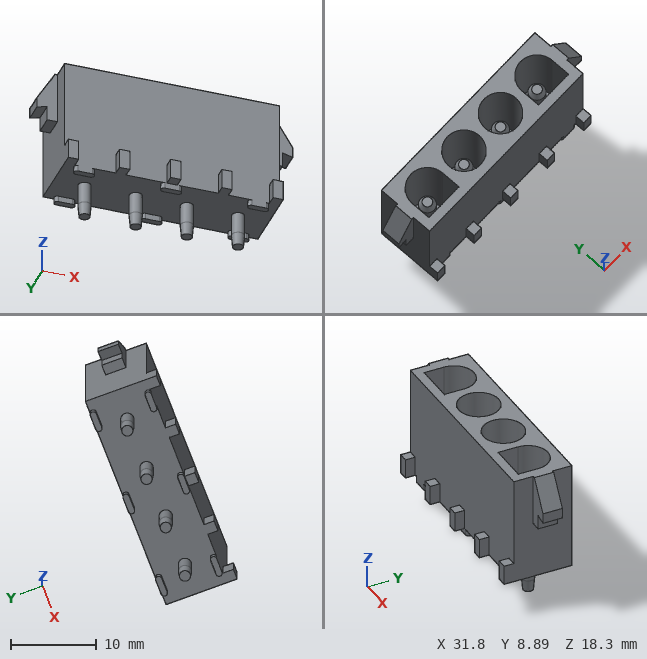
import cadquery as cq


circuits = 4
pitch = 6.35
end_margin = 3.81
housing_length = (circuits - 1) * pitch + 2 * end_margin
housing_depth = 7.62
housing_height = 13.97
pin_positions = [(i - (circuits - 1) / 2) * pitch for i in range(circuits)]

cavity_diameter = 5.2
cavity_radius = cavity_diameter / 2
floor_thickness = 2.54

collar_diameter = 3.2
collar_height = 0.5
contact_diameter = 2.13
contact_top = 9.5
contact_tip_diameter = 1.25
contact_tip_length = 0.8
tail_diameter = 1.57
tail_length = 4.32
tail_tip_diameter = 1.3
tail_tip_length = 1.57

rib_width = 1.27
rib_projection = 1.27
rib_height = 2.54
rib_count = circuits + 1
rib_span = housing_length - rib_width

foot_length = 2.54
foot_width = 0.76
foot_height = 0.76
foot_end_offset = pin_positions[-1] + foot_length / 2

latch_width = 2.54
latch_projection = 2.54
latch_stem = 1.27
latch_top_land = 0.3
latch_ramp_drop = 3.75
latch_tip_drop = 5.08
latch_notch_drop = 4.76
latch_bottom_drop = 6.6


def make_housing():
    return cq.Workplane("XY").box(
        housing_length, housing_depth, housing_height, centered=(True, True, False)
    )


def make_cavity(x, squared):
    depth = housing_height - floor_thickness
    plane = cq.Workplane("XY", origin=(x, 0, floor_thickness))
    cavity = plane.circle(cavity_radius).extrude(depth)
    if squared:
        square_side = (
            plane.center(0, -cavity_radius / 2)
            .rect(cavity_diameter, cavity_radius)
            .extrude(depth)
        )
        cavity = cavity.union(square_side)
    return cavity


def make_pin(x):
    """Turned pin with a tapered tail, a collar on the floor and a conical top."""
    profile = [
        (0, -tail_length),
        (tail_tip_diameter / 2, -tail_length),
        (tail_diameter / 2, tail_tip_length - tail_length),
        (tail_diameter / 2, floor_thickness),
        (collar_diameter / 2, floor_thickness),
        (collar_diameter / 2, floor_thickness + collar_height),
        (contact_diameter / 2, floor_thickness + collar_height),
        (contact_diameter / 2, contact_top - contact_tip_length),
        (contact_tip_diameter / 2, contact_top),
        (0, contact_top),
    ]
    pin = cq.Workplane("XZ").polyline(profile).close().revolve(360, (0, 0, 0), (0, 1, 0))
    return pin.translate((x, 0, 0))


def make_ribs():
    rib_pitch = rib_span / (rib_count - 1)
    centres = [(i * rib_pitch - rib_span / 2, 0) for i in range(rib_count)]
    return (
        cq.Workplane("XY", origin=(0, -(housing_depth + rib_projection) / 2, 0))
        .pushPoints(centres)
        .rect(rib_width, rib_projection)
        .extrude(rib_height)
    )


def make_feet():
    foot_y = (housing_depth - foot_width) / 2
    centres = [
        (x, y) for x in (-foot_end_offset, 0, foot_end_offset) for y in (-foot_y, foot_y)
    ]
    return (
        cq.Workplane("XY")
        .pushPoints(centres)
        .slot2D(foot_length, foot_width)
        .extrude(-foot_height)
    )


def make_latch():
    """Hooked ramp on the +X end."""
    wall = housing_length / 2
    profile = [
        (wall, housing_height),
        (wall + latch_top_land, housing_height),
        (wall + latch_projection, housing_height - latch_ramp_drop),
        (wall + latch_projection, housing_height - latch_tip_drop),
        (wall + latch_stem, housing_height - latch_notch_drop),
        (wall + latch_stem, housing_height - latch_bottom_drop),
        (wall, housing_height - latch_bottom_drop),
    ]
    return cq.Workplane("XZ").polyline(profile).close().extrude(latch_width / 2, both=True)


housing = make_housing()
for pin_x in pin_positions:
    is_end = pin_x in (pin_positions[0], pin_positions[-1])
    housing = housing.cut(make_cavity(pin_x, is_end))

latch = make_latch()
result = housing.union(make_ribs()).union(make_feet()).union(latch).union(latch.mirror("YZ"))
for pin_x in pin_positions:
    result = result.union(make_pin(pin_x))